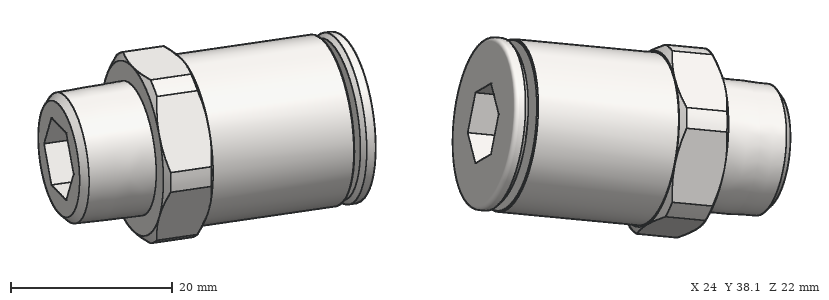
import cadquery as cq
import math

total_length = 38.12
end_chamfer_length = 0.9
thread_gauge_y = 4.5
nut_start_y = 9.72
nut_end_y = 16.3
body_end_y = 35.2
collar_start_y = 36.15

end_face_radius = 7.3
thread_front_radius = 8.25
thread_gauge_radius = 8.35
thread_back_radius = 8.45
body_radius = 10.8
body_edge_chamfer = 0.15
neck_radius = 7.6
collar_radius = 10.8
collar_front_chamfer = 0.6
collar_back_fillet = 0.55

nut_flats = 22.0
nut_corner_radius = 12.0
nut_chamfer_length = 0.6
socket_flats = 9.05


def hex_bar(flats, start_y, end_y):
    """Hexagonal bar along Y with two corners on the X axis."""
    corner_diameter = flats / math.cos(math.radians(30))
    profile = cq.Workplane("XZ", origin=(0, start_y, 0)).polygon(6, corner_diameter)
    return profile.extrude(start_y - end_y)


def turned(profile):
    """Solid of revolution about Y from (radius, y) points."""
    return cq.Workplane("XY").polyline(profile).close().revolve(360, (0, 0, 0), (0, 1, 0))


def make_turned_body():
    body = turned([
        (0, 0),
        (end_face_radius, 0),
        (thread_front_radius, end_chamfer_length),
        (thread_gauge_radius, thread_gauge_y),
        (thread_back_radius, nut_start_y),
        (body_radius, nut_start_y),
        (body_radius, body_end_y - body_edge_chamfer),
        (body_radius - body_edge_chamfer, body_end_y),
        (neck_radius, body_end_y),
        (neck_radius, collar_start_y),
        (collar_radius - collar_front_chamfer, collar_start_y),
        (collar_radius, collar_start_y + collar_front_chamfer),
        (collar_radius, total_length),
        (0, total_length),
    ])
    return body.faces(">Y").edges().fillet(collar_back_fillet)


def make_nut():
    """Hexagon with turned corners and a cone chamfer at each end."""
    face_radius = nut_flats / 2
    envelope = turned([
        (0, nut_start_y),
        (face_radius, nut_start_y),
        (nut_corner_radius, nut_start_y + nut_chamfer_length),
        (nut_corner_radius, nut_end_y - nut_chamfer_length),
        (face_radius, nut_end_y),
        (0, nut_end_y),
    ])
    return hex_bar(nut_flats, nut_start_y, nut_end_y).intersect(envelope)


socket = hex_bar(socket_flats, 0, total_length)
result = make_turned_body().union(make_nut()).cut(socket)